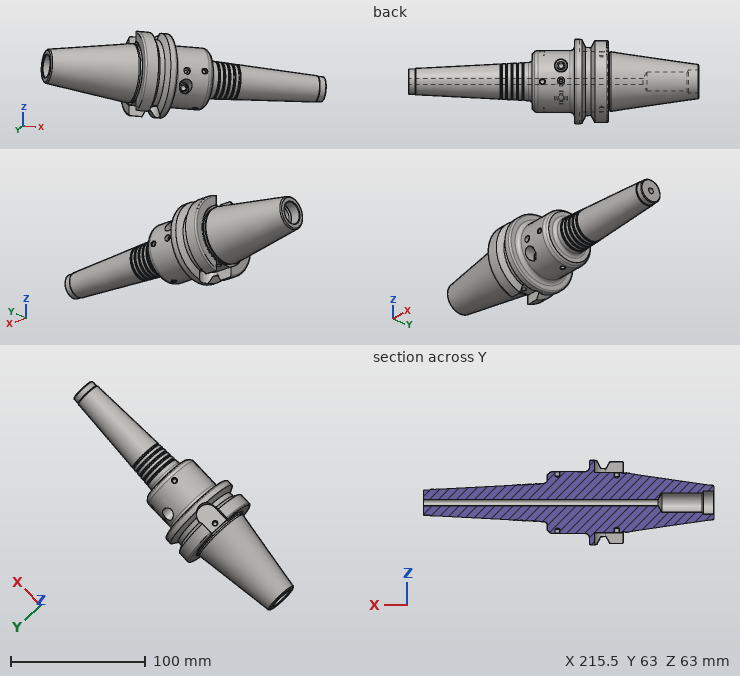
import cadquery as cq
import math

total_length = 215.5

shank_length = 65.3
shank_end_radius = 22.2
shank_slope = 7 / 48
back_chamfer = 0.9

relief_radius = 21.8
relief_taper_length = 1.3
relief_outer_radius = 23.7
relief_sink = 0.9

flange_start = 67.2
flange_end = 92.5
flange_radius = 31.5
flange_fillet = 1.3
groove_center = 82.0
groove_floor_width = 3.9
groove_floor_radius = 26.5
groove_wall_angle = 60.0

body_radius = 23.0
body_end = 123.6
body_root_fillet = 3.2
body_end_chamfer = 1.5
body_end_blend = 3.7

nose_angle = 3.0
nose_cone_end = 209.8
nose_cone_end_radius = 10.0
nose_root_fillet = 2.5
tip_radius = 9.5
tip_step = 0.6
tip_chamfer = 0.6

ring_count = 5
ring_start = 129.7
ring_last_start = 145.8
ring_width = 1.7
ring_depth = 0.32
ring_wall = 0.5

bore_mouth_diameter = 17.9
bore_diameter = 17.0
bore_depth = 8.0
thread_diameter = 14.0
thread_depth = 38.8
step_chamfer = 1.0
drill_half_angle = 59.0
through_diameter = 4.5

slot_width = 16.2
slot_end = 88.5
slot_floor = 22.5

slot_hole_x = 72.2
slot_hole_mouth_diameter = 4.0
slot_hole_diameter = 3.5
body_hole_x = 116.0
body_hole_mouth_diameter = 4.5
body_hole_diameter = 3.5
small_hole_depth = 3.2

side_hole_x = 102.3
pin_hole_z = -0.9
pin_hole_diameter = 5.0
pin_hole_depth = 3.2
pin_point_diameter = 2.4
clamp_hole_z = -11.8
clamp_hole_diameter = 9.7
clamp_hole_depth = 10.8
clamp_screw_diameter = 9.0
clamp_screw_tip_diameter = 6.0
clamp_screw_tip_height = 1.5
clamp_point_diameter = 4.0


def nose_radius(x):
    return nose_cone_end_radius + (nose_cone_end - x) * math.tan(math.radians(nose_angle))


def point_length(radius):
    """Length of a drill point that widens by the given radius."""
    return radius / math.tan(math.radians(drill_half_angle))


def turned_body():
    back_radius = shank_end_radius - shank_length * shank_slope
    half_floor = groove_floor_width / 2
    wall_run = (flange_radius - groove_floor_radius) / math.tan(math.radians(groove_wall_angle))
    diagonal = math.sqrt(0.5)
    half_turned = math.radians(45) / 2
    arc_drop = body_end_blend * (1 - diagonal)
    arc_end_x = body_end - body_end_chamfer
    arc_start_x = arc_end_x - body_end_blend * diagonal
    arc_mid = (
        arc_start_x + body_end_blend * math.sin(half_turned),
        body_radius - body_end_blend * (1 - math.cos(half_turned)),
    )
    root_inset = body_root_fillet * (1 - diagonal)
    nose_root_x = body_end + nose_root_fillet
    nose_root_radius = nose_radius(nose_root_x)
    nose_inset = nose_root_fillet * (1 - diagonal)
    edge_inset = flange_fillet * (1 - diagonal)

    profile = (
        cq.Workplane("XY")
        .moveTo(0, 0)
        .lineTo(0, back_radius - back_chamfer)
        .lineTo(back_chamfer, back_radius + back_chamfer * shank_slope)
        .lineTo(shank_length, shank_end_radius)
        .lineTo(shank_length + relief_taper_length, relief_radius)
        .lineTo(flange_start + relief_sink, relief_radius)
        .lineTo(flange_start + relief_sink, relief_outer_radius)
        .lineTo(flange_start, relief_outer_radius)
        .lineTo(flange_start, flange_radius - flange_fillet)
        .threePointArc(
            (flange_start + edge_inset, flange_radius - edge_inset),
            (flange_start + flange_fillet, flange_radius),
        )
        .lineTo(groove_center - half_floor - wall_run, flange_radius)
        .lineTo(groove_center - half_floor, groove_floor_radius)
        .lineTo(groove_center + half_floor, groove_floor_radius)
        .lineTo(groove_center + half_floor + wall_run, flange_radius)
        .lineTo(flange_end - flange_fillet, flange_radius)
        .threePointArc(
            (flange_end - edge_inset, flange_radius - edge_inset),
            (flange_end, flange_radius - flange_fillet),
        )
        .lineTo(flange_end, body_radius + body_root_fillet)
        .threePointArc(
            (flange_end + root_inset, body_radius + root_inset),
            (flange_end + body_root_fillet, body_radius),
        )
        .lineTo(arc_start_x, body_radius)
        .threePointArc(arc_mid, (arc_end_x, body_radius - arc_drop))
        .lineTo(body_end, body_radius - arc_drop - body_end_chamfer)
        .lineTo(body_end, nose_root_radius + nose_root_fillet)
        .threePointArc(
            (body_end + nose_inset, nose_root_radius + nose_inset),
            (nose_root_x, nose_root_radius),
        )
        .lineTo(nose_cone_end, nose_cone_end_radius)
        .lineTo(nose_cone_end + tip_step, tip_radius)
        .lineTo(total_length - tip_chamfer, tip_radius)
        .lineTo(total_length, tip_radius - tip_chamfer)
        .lineTo(total_length, 0)
        .close()
    )
    return profile.revolve(360, (0, 0, 0), (1, 0, 0))


def cooling_ring(start):
    """Shallow ring groove with sloping walls; the cutter reaches above the nose surface."""
    end = start + ring_width
    outside = nose_radius(start) + ring_depth
    profile = (
        cq.Workplane("XY")
        .moveTo(start, outside)
        .lineTo(start, nose_radius(start))
        .lineTo(start + ring_wall, nose_radius(start + ring_wall) - ring_depth)
        .lineTo(end - ring_wall, nose_radius(end - ring_wall) - ring_depth)
        .lineTo(end, nose_radius(end))
        .lineTo(end, outside)
        .close()
    )
    return profile.revolve(360, (0, 0, 0), (1, 0, 0))


def axial_bore():
    mouth_chamfer = (bore_mouth_diameter - bore_diameter) / 2
    bore_radius = bore_diameter / 2
    thread_radius = thread_diameter / 2
    through_radius = through_diameter / 2
    cone_length = point_length(thread_radius - through_radius)
    profile = (
        cq.Workplane("XY")
        .moveTo(0, 0)
        .lineTo(0, bore_mouth_diameter / 2)
        .lineTo(mouth_chamfer, bore_radius)
        .lineTo(bore_depth, bore_radius)
        .lineTo(bore_depth, thread_radius + step_chamfer)
        .lineTo(bore_depth + step_chamfer, thread_radius)
        .lineTo(thread_depth, thread_radius)
        .lineTo(thread_depth + cone_length, through_radius)
        .lineTo(total_length, through_radius)
        .lineTo(total_length, 0)
        .close()
    )
    return profile.revolve(360, (0, 0, 0), (1, 0, 0))


def drive_slot():
    """Cutter for the top slot: open towards the shank, round at the other end."""
    center_x = slot_end - slot_width / 2
    height = flange_radius - slot_floor
    outline = (
        cq.Workplane("XY", origin=(0, 0, slot_floor))
        .moveTo(shank_length, -slot_width / 2)
        .lineTo(center_x, -slot_width / 2)
        .threePointArc((slot_end, 0), (center_x, slot_width / 2))
        .lineTo(shank_length, slot_width / 2)
        .close()
    )
    return outline.extrude(height)


def round_cutter(outline):
    """Solid turned about its own Z axis from (radius, height) points."""
    return cq.Workplane("XZ").polyline(outline).close().revolve(360, (0, 0, 0), (0, 1, 0))


def top_hole(x, surface, mouth_diameter, diameter):
    """Hole from above with a 45 degree countersink and a conical bottom."""
    mouth = mouth_diameter / 2
    radius = diameter / 2
    outline = [
        (0, mouth),
        (mouth, mouth),
        (mouth, 0),
        (radius, radius - mouth),
        (radius, -small_hole_depth),
        (0, -small_hole_depth - point_length(radius)),
    ]
    return round_cutter(outline).translate((x, 0, surface))


def side_cutter(outline, z, depth):
    """Turn a cutter to open towards -Y, with its floor at the given depth below the body surface."""
    upright = round_cutter(outline).rotate((0, 0, 0), (1, 0, 0), 90)
    return upright.translate((side_hole_x, depth - body_radius, z))


def pin_hole():
    radius = pin_hole_diameter / 2
    point_radius = pin_point_diameter / 2
    outline = [
        (0, pin_hole_depth),
        (radius, pin_hole_depth),
        (radius, 0),
        (point_radius, 0),
        (0, -point_length(point_radius)),
    ]
    return side_cutter(outline, pin_hole_z, pin_hole_depth)


def clamp_hole():
    """Hole with the tapered, center drilled end of the clamp screw left standing on its floor."""
    radius = clamp_hole_diameter / 2
    point_radius = clamp_point_diameter / 2
    outline = [
        (0, clamp_hole_depth),
        (radius, clamp_hole_depth),
        (radius, 0),
        (clamp_screw_diameter / 2, 0),
        (clamp_screw_tip_diameter / 2, clamp_screw_tip_height),
        (point_radius, clamp_screw_tip_height),
        (0, clamp_screw_tip_height - point_length(point_radius)),
    ]
    return side_cutter(outline, clamp_hole_z, clamp_hole_depth)


def half_turn(shape):
    return shape.rotate((0, 0, 0), (1, 0, 0), 180)


result = turned_body().cut(axial_bore())

ring_pitch = (ring_last_start - ring_start) / (ring_count - 1)
for index in range(ring_count):
    result = result.cut(cooling_ring(ring_start + index * ring_pitch))

slot_hole = top_hole(slot_hole_x, slot_floor, slot_hole_mouth_diameter, slot_hole_diameter)
for cutter in (drive_slot(), slot_hole, pin_hole(), clamp_hole()):
    result = result.cut(cutter).cut(half_turn(cutter))

body_hole = top_hole(body_hole_x, body_radius, body_hole_mouth_diameter, body_hole_diameter)
for quarter in range(4):
    result = result.cut(body_hole.rotate((0, 0, 0), (1, 0, 0), 90 * quarter))